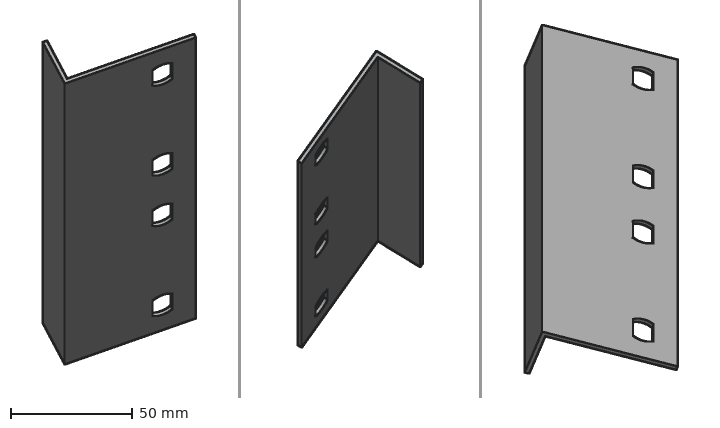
import cadquery as cq

length = 200.0
wide_leg = 59.0
narrow_leg = 23.0
thickness = 2.0

slot_width = 9.0
slot_height = 14.0
slot_edge_distance = 15.0
inner_slot_offset = 18.0
slot_pitch = 64.0
outer_slot_offset = inner_slot_offset + slot_pitch


def make_angle():
    """L-section with its outer corner at (narrow_leg, 0), centred in Z."""
    return (
        cq.Workplane("XY")
        .workplane(offset=-length / 2)
        .moveTo(0, 0)
        .lineTo(narrow_leg, 0)
        .lineTo(narrow_leg, wide_leg)
        .lineTo(narrow_leg - thickness, wide_leg)
        .lineTo(narrow_leg - thickness, thickness)
        .lineTo(0, thickness)
        .close()
        .extrude(length)
    )


def make_slot_cutter(z):
    """Round cutter trimmed to the slot width by two flat sides."""
    leg_face = cq.Workplane("YZ", origin=(narrow_leg - thickness, wide_leg - slot_edge_distance, z))
    round_cutter = leg_face.circle(slot_height / 2).extrude(thickness)
    flat_sides = leg_face.rect(slot_width, slot_height).extrude(thickness)
    return round_cutter.intersect(flat_sides)


result = make_angle()
for offset in (inner_slot_offset, outer_slot_offset):
    for side in (-1, 1):
        result = result.cut(make_slot_cutter(side * offset))